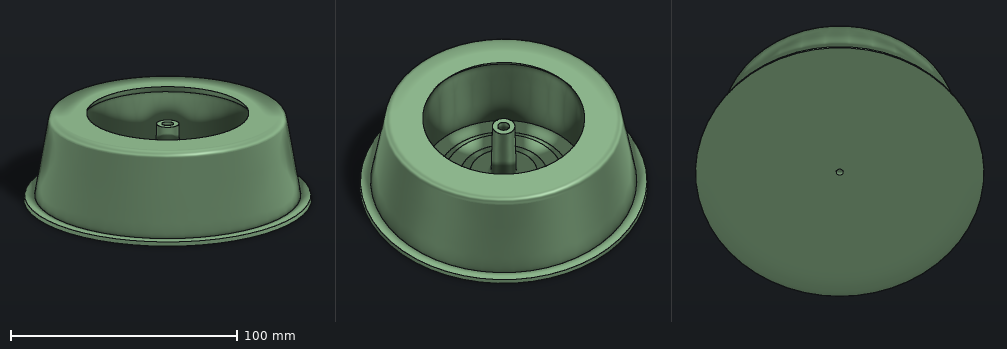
import cadquery as cq

flange_diameter = 127.5
total_height = 40.0

flange_thickness = 1.9
flange_edge_taper = 0.5

wall_bottom_radius = 58.8
wall_top_radius = 52.3
top_fillet_radius = 3.3

opening_diameter = 71.5
lip_depth = 3.2
cavity_top_radius = 38.1
cavity_floor_radius = 37.2
floor_height = 3.3

floor_tiers = [(29.8, 26.4), (19.5, 14.9)]
tier_height = 1.8

post_top_height = 35.2
post_top_radius = 5.0
post_base_radius = 5.6
post_fillet_radius = 1.7
bore_top_radius = 2.5
bore_bottom_radius = 1.5


def frustum(bottom_radius, top_radius, bottom_height, top_height):
    """Solid cone frustum about the Z axis."""
    return (
        cq.Workplane("XZ")
        .moveTo(0, bottom_height)
        .lineTo(bottom_radius, bottom_height)
        .lineTo(top_radius, top_height)
        .lineTo(0, top_height)
        .close()
        .revolve(360, (0, 0), (0, 1))
    )


def outer_body():
    """Flange and conical wall as one solid of revolution, with a rounded top edge."""
    flange_radius = flange_diameter / 2
    body = (
        cq.Workplane("XZ")
        .lineTo(flange_radius, 0)
        .lineTo(flange_radius - flange_edge_taper, flange_thickness)
        .lineTo(wall_bottom_radius, flange_thickness)
        .lineTo(wall_top_radius, total_height)
        .lineTo(0, total_height)
        .close()
        .revolve(360, (0, 0), (0, 1))
    )
    return body.faces(">Z").edges().fillet(top_fillet_radius)


def cavity():
    """Tapered pocket below the lip, plus the conical opening through the lip."""
    lip_height = total_height - lip_depth
    pocket = frustum(cavity_floor_radius, cavity_top_radius, floor_height, lip_height)
    opening = frustum(cavity_top_radius, opening_diameter / 2, lip_height, total_height)
    return pocket.union(opening)


def floor_with_post():
    """Raised conical tiers carrying a tapered post with a concave fillet around its foot."""
    foot_height = floor_height + len(floor_tiers) * tier_height
    parts = frustum(post_base_radius, post_top_radius, foot_height, post_top_height)
    for level, (bottom_radius, top_radius) in enumerate(floor_tiers):
        tier_bottom = floor_height + level * tier_height
        tier = frustum(bottom_radius, top_radius, tier_bottom, tier_bottom + tier_height)
        parts = parts.union(tier)
    foot_edge = cq.selectors.RadiusNthSelector(1)
    return parts.edges("%CIRCLE").edges(foot_edge).fillet(post_fillet_radius)


bore = frustum(bore_bottom_radius, bore_top_radius, 0, post_top_height)

result = outer_body().cut(cavity()).union(floor_with_post()).cut(bore)